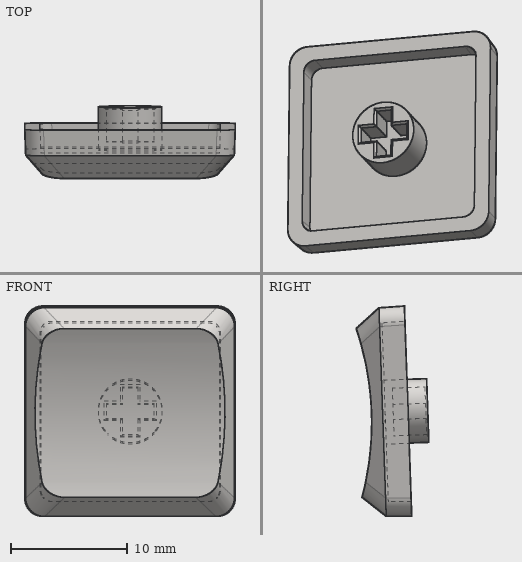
import cadquery as cq
import math

base_width = 18.107
corner_radius = 1.6
draft_angle = 2.0
skirt_height = 2.2
cap_height = 4.23
bevel_inset = 1.72
dish_radius = 25.0

wall_thickness = 1.3
cavity_corner_radius = 1.0
cavity_depth = 2.0

stem_diameter = 5.5
stem_protrusion = 1.69
slot_length = 4.1
slot_width = 1.3
socket_chamfer = 0.2
socket_depth = 3.0

stand_angle = 90.0
tilt_angle = 2.0

draft_slope = math.tan(math.radians(draft_angle))
skirt_top_width = base_width - 2 * skirt_height * draft_slope
cap_top_width = skirt_top_width - 2 * bevel_inset


def rounded_frustum(bottom_width, top_width, radius, bottom_z, top_z):
    """Square frustum whose rounded corners keep one radius from bottom to top."""
    bottom = cq.Sketch().rect(bottom_width, bottom_width).vertices().fillet(radius)
    top = cq.Sketch().rect(top_width, top_width).vertices().fillet(radius)
    return (
        cq.Workplane("XY")
        .placeSketch(
            bottom.moved(cq.Location(cq.Vector(0, 0, bottom_z))),
            top.moved(cq.Location(cq.Vector(0, 0, top_z))),
        )
        .loft(ruled=True)
    )


def outer_body():
    """Drafted skirt with a steeper bevelled band on top."""
    skirt = rounded_frustum(base_width, skirt_top_width, corner_radius, 0, skirt_height)
    bevel = rounded_frustum(skirt_top_width, cap_top_width, corner_radius, skirt_height, cap_height)
    return skirt.union(bevel)


def dish_cutter():
    """Cylinder along X that meets the top face exactly at its two long edges."""
    half_chord = cap_top_width / 2
    axis_height = cap_height + math.sqrt(dish_radius**2 - half_chord**2)
    return (
        cq.Workplane("YZ")
        .center(0, axis_height)
        .circle(dish_radius)
        .extrude(base_width / 2, both=True)
    )


def underside_cavity():
    """Open pocket in the underside, its walls drafted like the skirt."""
    opening_width = base_width - 2 * wall_thickness
    floor_width = opening_width - 2 * cavity_depth * draft_slope
    return rounded_frustum(opening_width, floor_width, cavity_corner_radius, 0, cavity_depth)


def stem():
    """Round post from the cavity floor out past the rim."""
    return (
        cq.Workplane("XY")
        .workplane(offset=-stem_protrusion)
        .circle(stem_diameter / 2)
        .extrude(stem_protrusion + cavity_depth)
    )


def socket_arm(length, width):
    """Blind slot in the free end of the stem, widening through a lead-in chamfer at its mouth."""
    stem_end = cq.Workplane("XY").workplane(offset=-stem_protrusion)
    slot = stem_end.rect(length, width).extrude(socket_depth)
    lead_in = (
        stem_end
        .rect(length + 2 * socket_chamfer, width + 2 * socket_chamfer)
        .workplane(offset=socket_chamfer)
        .rect(length, width)
        .loft(ruled=True)
    )
    return slot.union(lead_in)


def stem_socket():
    """Cross-shaped socket made of two perpendicular arms."""
    return socket_arm(slot_length, slot_width).union(socket_arm(slot_width, slot_length))


keycap = outer_body().cut(dish_cutter()).cut(underside_cavity()).union(stem()).cut(stem_socket())
result = keycap.rotate((0, 0, 0), (1, 0, 0), stand_angle + tilt_angle)